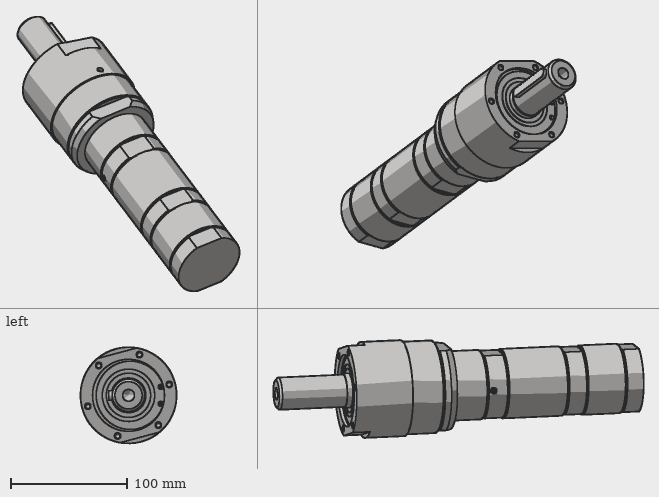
import cadquery as cq
import math


total_length = 317.5
collar_start = 59.5
flange_start = 61.3
flange_end = 111.0
nut_start = 139.0
nut_taper_start = 145.5
nut_end = 151.0
sleeve_joints = [180.0, 198.0, 251.0, 268.0, 302.3]

shaft_diameter = 28.0
collar_diameter = 30.0
flange_diameter = 83.0
housing_diameter = 80.0
nut_end_diameter = 75.2
sleeve_diameter = 60.0

shaft_chamfer = 2.2
joint_chamfer = 1.0

key_start = 5.0
key_length = 50.2
key_width = 8.3
key_top = 16.8

nut_flat_span = 70.0
sleeve_flat_span = 55.0
flange_flat_span = 75.0
flange_flat_length = 15.2
flange_turn = 15.0

recess_diameter = 62.0
recess_depth = 3.2
recess_floor = flange_start + recess_depth
retainer_diameter = 58.7
retainer_height = 0.3
retainer_face = recess_floor - retainer_height
seal_outer_diameter = 45.0
seal_inner_diameter = 38.0
seal_height = 0.5
pin_hole_diameter = 4.0
pilot_diameter = 1.55
pin_hole_depth = 3.2
pin_pilot_depth = 6.5
pin_hole_y = -27.5
pin_hole_z = 7.3

bolt_count = 6
bolt_circle_radius = 36.2
bolt_mouth_diameter = 5.5
bolt_hole_diameter = 4.0
bolt_hole_depth = 9.5
centre_hole_diameter = 10.2
centre_hole_depth = 12.7
drill_point_angle = 118.0
radial_hole_steps = [(5.0, 3.2), (3.5, 4.8), (pilot_diameter, 6.5)]
radial_hole_run_out = 3.2
flange_hole_x = 104.8
sleeve_hole_x = 185.0


def disc(start_x, length, diameter, y=0.0, z=0.0):
    """Cylinder along +X from start_x."""
    return cq.Workplane("YZ", origin=(start_x, y, z)).circle(diameter / 2).extrude(length)


def drilled_hole(start_x, depth, diameter, y=0.0, z=0.0):
    """Blind hole along +X with a conical drill point."""
    radius = diameter / 2
    point_length = radius / math.tan(math.radians(drill_point_angle / 2))
    return (
        cq.Workplane("XY", origin=(start_x, y, z))
        .lineTo(0, radius)
        .lineTo(depth, radius)
        .lineTo(depth + point_length, 0)
        .close()
        .revolve(360, (0, 0, 0), (1, 0, 0))
    )


def turned_body():
    shaft_radius = shaft_diameter / 2
    outline = [
        (0, 0),
        (0, shaft_radius - shaft_chamfer),
        (shaft_chamfer, shaft_radius),
        (collar_start, shaft_radius),
        (collar_start, collar_diameter / 2),
        (recess_floor, collar_diameter / 2),
        (recess_floor, recess_diameter / 2),
        (flange_start, recess_diameter / 2),
        (flange_start, flange_diameter / 2),
        (flange_end, flange_diameter / 2),
        (flange_end, housing_diameter / 2),
        (nut_taper_start, housing_diameter / 2),
        (nut_end, nut_end_diameter / 2),
        (nut_end, sleeve_diameter / 2),
        (total_length, sleeve_diameter / 2),
        (total_length, 0),
    ]
    return cq.Workplane("XY").polyline(outline).close().revolve(360, (0, 0, 0), (1, 0, 0))


def joint_groove(x, diameter):
    """V groove left by the edge chamfers of two neighbouring rings."""
    radius = diameter / 2
    outline = [(x - joint_chamfer, radius), (x, radius - joint_chamfer), (x + joint_chamfer, radius)]
    return cq.Workplane("XY").polyline(outline).close().revolve(360, (0, 0, 0), (1, 0, 0))


def flats(start_x, end_x, span):
    """Material outside a pair of flats facing +Z and -Z."""
    length = end_x - start_x
    slab = cq.Workplane("XY").box(length, flange_diameter, span)
    blank = cq.Workplane("XY").box(length, flange_diameter, 2 * flange_diameter)
    return blank.cut(slab).translate(((start_x + end_x) / 2, 0, 0))


def shaft_key():
    return (
        cq.Workplane("XZ", origin=(key_start + key_length / 2, 0, 0))
        .slot2D(key_length, key_width)
        .extrude(-key_top)
    )


def bearing_retainer():
    """Thin disc on the recess floor, offset towards -Y until it touches the recess wall."""
    offset = (recess_diameter - retainer_diameter) / 2
    retainer = disc(retainer_face, retainer_height, retainer_diameter, -offset)
    return retainer.cut(disc(retainer_face, retainer_height, collar_diameter))


def seal_ring():
    """Raised ring on the retainer, around the shaft collar."""
    seal_face = retainer_face - seal_height
    ring = disc(seal_face, seal_height, seal_outer_diameter)
    return ring.cut(disc(seal_face, seal_height, seal_inner_diameter))


def pin_hole(z):
    """Shallow hole in the retainer with a fine pilot hole in its floor."""
    mouth = disc(retainer_face, pin_hole_depth, pin_hole_diameter, pin_hole_y, z)
    pilot = disc(retainer_face, pin_pilot_depth, pilot_diameter, pin_hole_y, z)
    return mouth.union(pilot)


def bolt_hole(y, z):
    """Drilled hole with a 45 degree countersink in the flange face."""
    mouth_radius = bolt_mouth_diameter / 2
    countersink_depth = (bolt_mouth_diameter - bolt_hole_diameter) / 2
    countersink = cq.Solid.makeCone(
        mouth_radius,
        mouth_radius - countersink_depth,
        countersink_depth,
        pnt=cq.Vector(flange_start, y, z),
        dir=cq.Vector(1, 0, 0),
    )
    return drilled_hole(flange_start, bolt_hole_depth, bolt_hole_diameter, y, z).union(countersink)


def radial_hole(x, diameter):
    """Stepped blind hole entering the surface of the given diameter from +Z."""
    surface = diameter / 2
    steps = cq.Workplane("XY")
    for step_diameter, depth in radial_hole_steps:
        step = cq.Workplane("XY", origin=(x, 0, surface - depth)).circle(step_diameter / 2)
        steps = steps.union(step.extrude(depth + radial_hole_run_out))
    return steps


def turn_about_x(shape, degrees):
    return shape.rotate((0, 0, 0), (1, 0, 0), degrees)


result = turned_body().union(shaft_key())

flange_flats = flats(flange_start, flange_start + flange_flat_length, flange_flat_span)
result = result.cut(turn_about_x(flange_flats, -flange_turn))
result = result.cut(flats(nut_start, nut_end, nut_flat_span))
first_joint, second_joint, third_joint, fourth_joint, last_joint = sleeve_joints
flat_stretches = [(first_joint, second_joint), (third_joint, fourth_joint), (last_joint, total_length)]
for stretch_start, stretch_end in flat_stretches:
    result = result.cut(flats(stretch_start, stretch_end, sleeve_flat_span))

result = result.cut(joint_groove(nut_start, housing_diameter))
for joint_x in sleeve_joints:
    result = result.cut(joint_groove(joint_x, sleeve_diameter))

result = result.cut(drilled_hole(0, centre_hole_depth, centre_hole_diameter))
result = result.union(bearing_retainer()).union(seal_ring())
for hole_z in (-pin_hole_z, pin_hole_z):
    result = result.cut(pin_hole(hole_z))
for index in range(bolt_count):
    angle = math.radians(index * 360 / bolt_count - flange_turn)
    bolt_y = bolt_circle_radius * math.cos(angle)
    bolt_z = bolt_circle_radius * math.sin(angle)
    result = result.cut(bolt_hole(bolt_y, bolt_z))

result = result.cut(turn_about_x(radial_hole(flange_hole_x, flange_diameter), -flange_turn))
result = result.cut(turn_about_x(radial_hole(sleeve_hole_x, sleeve_diameter), 90))